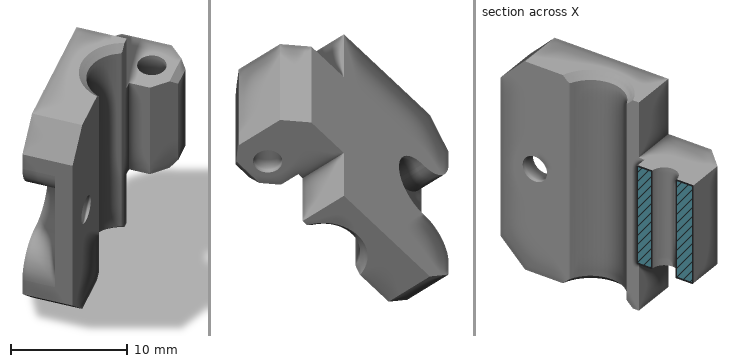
import cadquery as cq
import math

height = 21.2
plate_thickness = 4.55
plate_depth = 14.32
corner_chamfer = 2.55

overall_width = 8.38
overall_depth = 20.68
tab_height = 9.97
lug_depth = 5.77
tab_chamfer = 1.9
tab_end_chamfer = 0.6

hole_diameter = 2.52
hinge_x = 5.68
hinge_y = 17.69

screw_y = 3.56
pocket_depth = 2.97
pocket_radius = 3.22
flare_radius = 3.18

channel_x = 5.68
channel_y = 10.07
channel_radius = 3.15
channel_edge_fillet = 0.21
channel_mouth_chamfer = 0.64


def make_plate():
    """Plate with both front corners chamfered and the channel cut through its right face."""
    plate = (
        cq.Workplane("XY")
        .box(plate_thickness, plate_depth, height, centered=(False, False, True))
        .faces("<Y")
        .edges("|X")
        .chamfer(corner_chamfer)
    )
    channel = (
        cq.Workplane("XY")
        .center(channel_x, channel_y)
        .circle(channel_radius)
        .extrude(height / 2, both=True)
    )
    half_opening = math.sqrt(channel_radius**2 - (channel_x - plate_thickness) ** 2)
    plate = plate.cut(channel)
    for side in (-1, 1):
        edge_point = (plate_thickness, channel_y + side * half_opening, 0)
        plate = plate.edges(cq.selectors.NearestToPointSelector(edge_point)).fillet(channel_edge_fillet)
    for side in (-1, 1):
        plate = plate.cut(make_channel_mouth(side))
    return plate


def make_channel_mouth(side):
    """45 degree cone widening the channel at the top (side 1) or bottom (side -1)."""
    cone = cq.Solid.makeCone(
        channel_radius + channel_mouth_chamfer,
        channel_radius,
        channel_mouth_chamfer,
        pnt=cq.Vector(channel_x, channel_y, side * height / 2),
        dir=cq.Vector(0, 0, -side),
    )
    return cq.Workplane(cone)


def make_tab():
    """Bevelled tab reaching back and to the right, with its hinge hole along Z."""
    lug_front = overall_depth - lug_depth
    tab = (
        cq.Workplane("XY")
        .moveTo(0, plate_depth)
        .lineTo(plate_thickness, plate_depth)
        .lineTo(plate_thickness, lug_front)
        .lineTo(overall_width - tab_chamfer, lug_front)
        .lineTo(overall_width, lug_front + tab_chamfer)
        .lineTo(overall_width, overall_depth - tab_chamfer)
        .lineTo(overall_width - tab_chamfer, overall_depth)
        .lineTo(tab_chamfer, overall_depth)
        .lineTo(0, overall_depth - tab_chamfer)
        .close()
        .extrude(tab_height / 2, both=True)
    )
    end_profile = (
        cq.Workplane("XZ")
        .center(overall_width / 2, 0)
        .rect(overall_width, tab_height)
        .extrude(-overall_depth)
        .faces(">X")
        .edges("|Y")
        .chamfer(tab_end_chamfer)
    )
    hinge_hole = (
        cq.Workplane("XY")
        .center(hinge_x, hinge_y)
        .circle(hole_diameter / 2)
        .extrude(tab_height, both=True)
    )
    return tab.intersect(end_profile).cut(hinge_hole)


def make_pocket():
    """Round-ended pocket that flares out to the front face."""
    flare_z = pocket_radius + flare_radius
    flare_offset = flare_radius * math.cos(math.radians(45))
    flare_y = flare_radius - flare_offset
    return (
        cq.Workplane("YZ")
        .moveTo(0, -flare_z)
        .threePointArc((flare_y, -flare_z + flare_offset), (flare_radius, -pocket_radius))
        .lineTo(screw_y, -pocket_radius)
        .threePointArc((screw_y + pocket_radius, 0), (screw_y, pocket_radius))
        .lineTo(flare_radius, pocket_radius)
        .threePointArc((flare_y, flare_z - flare_offset), (0, flare_z))
        .close()
        .extrude(pocket_depth)
    )


screw_hole = cq.Workplane("YZ").center(screw_y, 0).circle(hole_diameter / 2).extrude(plate_thickness)

result = make_plate().union(make_tab()).cut(make_pocket()).cut(screw_hole)